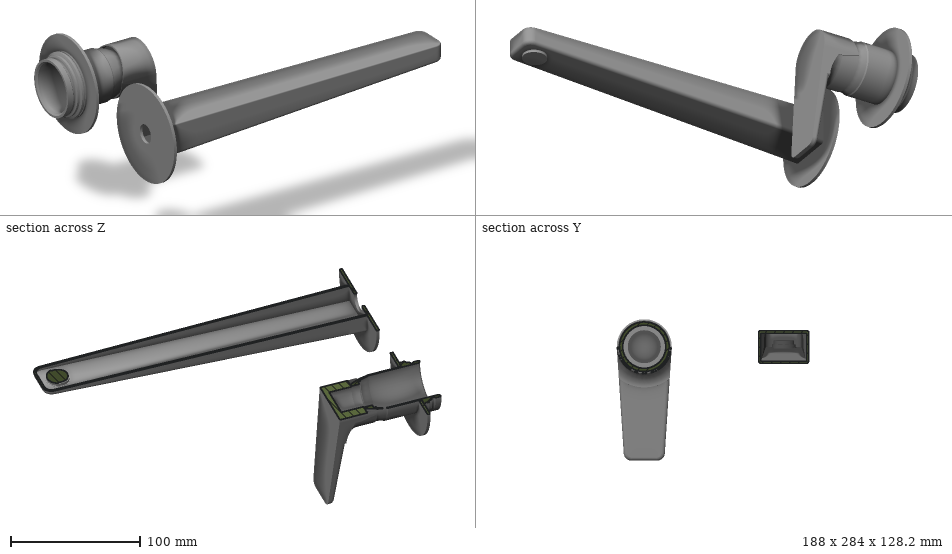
import cadquery as cq
import math

SPOUT_X = 108.0
OVERLAP = 5.0

PLATE_RADIUS = 40.0
PLATE_THICKNESS = 2.5
SPOUT_INLET_RADIUS = 7.8

SLEEVE_RADIUS = 21.8
SLEEVE_BORE_RADIUS = 20.4
SLEEVE_END = 28.3
DOME_START = 29.3
DOME_START_RADIUS = 21.2
DOME_MID = 36.5
DOME_MID_RADIUS = 19.8
DOME_END = 45.0
DOME_END_RADIUS = 15.5
SEAL_RADIUS = 26.8
SEAL_END = -4.4
SEAL_GROOVE_DEPTH = 0.6
SEAL_GROOVE_START = -1.6
SEAL_GROOVE_END = -2.8
COLLAR_RADIUS = 24.7
COLLAR_START = -5.4
COLLAR_END = -7.4
NECK_RADIUS = 22.6
NECK_START = -8.2
NECK_END = -9.8
RING_RADIUS = 23.6
RING_START = -10.6
RING_END = -15.5
MOUTH_CHAMFER = 1.3
DOME_BORE_START = 28.0
DOME_BORE_END = 36.0
DOME_BORE_END_RADIUS = 17.8
SEAT_RADIUS = 16.5
SEAT_END = 38.0
OUTLET_RADIUS = 13.5

CAP_RADIUS = 21.3
LEVER_BOTTOM = -88.22
LEVER_TAPER = 3.75
LEVER_CORNER_RADIUS = 6.0
FACE_Y = 68.3
FACE_TILT = 5.0
BACK_Y = 59.0
BACK_TILT = 7.7
CAP_REAR = 36.8
CAP_REAR_TOP = 41.8
HANDLE_NECK_RADIUS = 21.0
SHOULDER_FRONT = 49.8
SHOULDER_FRONT_Z = -5.0
FLARE_START = 51.5
FLARE_RADIUS = 10.5
LEVER_EDGE_FILLET = 2.8
DOME_POCKET_RADIUS = 20.2
CORE_RADIUS = 12.8
CAP_WALL = 3.0

SPOUT_TIP = 268.5
SPOUT_TOP = 12.4
SPOUT_ROOT_BOTTOM = -14.8
SPOUT_TIP_BOTTOM = -2.1
SPOUT_SLOPE = (SPOUT_TIP_BOTTOM - SPOUT_ROOT_BOTTOM) / (SPOUT_TIP - PLATE_THICKNESS)
SPOUT_ROOT_HALF_WIDTH = 20.1
SPOUT_TIP_HALF_WIDTH = 15.8
SPOUT_CORNER_RADIUS = 7.5
SPOUT_TOP_FILLET = 1.0
SPOUT_BOTTOM_FILLET = 2.5
SPOUT_WALL = 2.0

AERATOR_Y = 252.3
AERATOR_RADIUS = 9.8
AERATOR_PROJECTION = 2.2
AERATOR_STEPS = [(AERATOR_RADIUS, 4.5), (9.0, 2.5), (8.0, 3.0)]


def revolve_about_y(profile, angle=360):
    """Turn a (radius, y) outline about the Y axis; 180 degrees gives the half below the axis."""
    return profile.close().revolve(angle, (0, 0, 0), (0, 1, 0))


def make_plate(centre_x, hole_radius):
    plate = cq.Workplane("XZ", origin=(centre_x, 0, 0)).circle(PLATE_RADIUS).circle(hole_radius)
    return plate.extrude(-PLATE_THICKNESS)


def make_valve_body():
    groove_radius = SEAL_RADIUS - SEAL_GROOVE_DEPTH
    mouth_radius = SLEEVE_BORE_RADIUS + MOUTH_CHAMFER
    profile = (
        cq.Workplane("XY")
        .moveTo(mouth_radius, RING_END)
        .lineTo(RING_RADIUS, RING_END)
        .lineTo(RING_RADIUS, RING_START)
        .lineTo(NECK_RADIUS, NECK_END)
        .lineTo(NECK_RADIUS, NECK_START)
        .lineTo(COLLAR_RADIUS, COLLAR_END)
        .lineTo(COLLAR_RADIUS, COLLAR_START)
        .lineTo(SEAL_RADIUS, SEAL_END)
        .lineTo(SEAL_RADIUS, SEAL_GROOVE_END)
        .lineTo(groove_radius, SEAL_GROOVE_END)
        .lineTo(groove_radius, SEAL_GROOVE_START)
        .lineTo(SEAL_RADIUS, SEAL_GROOVE_START)
        .lineTo(SEAL_RADIUS, 0)
        .lineTo(SLEEVE_RADIUS, 0)
        .lineTo(SLEEVE_RADIUS, SLEEVE_END)
        .lineTo(DOME_START_RADIUS, DOME_START)
        .threePointArc((DOME_MID_RADIUS, DOME_MID), (DOME_END_RADIUS, DOME_END))
        .lineTo(OUTLET_RADIUS, DOME_END)
        .lineTo(OUTLET_RADIUS, SEAT_END)
        .lineTo(SEAT_RADIUS, SEAT_END)
        .lineTo(SEAT_RADIUS, DOME_BORE_END)
        .lineTo(DOME_BORE_END_RADIUS, DOME_BORE_END)
        .lineTo(SLEEVE_BORE_RADIUS, DOME_BORE_START)
        .lineTo(SLEEVE_BORE_RADIUS, RING_END + MOUTH_CHAMFER)
    )
    return revolve_about_y(profile)


def make_handle():
    face_slope = math.tan(math.radians(FACE_TILT))
    back_slope = math.tan(math.radians(BACK_TILT))

    def face_y(z):
        return FACE_Y - z * face_slope

    def back_y(z):
        return BACK_Y - z * back_slope

    taper = math.radians(LEVER_TAPER)
    flank_x = CAP_RADIUS * math.cos(taper)
    flank_z = -CAP_RADIUS * math.sin(taper)
    tip_half_width = flank_x - (flank_z - LEVER_BOTTOM) * math.tan(taper)

    outline = (
        cq.Workplane("XZ")
        .moveTo(-flank_x, flank_z)
        .threePointArc((0, CAP_RADIUS), (flank_x, flank_z))
        .lineTo(tip_half_width, LEVER_BOTTOM)
        .lineTo(-tip_half_width, LEVER_BOTTOM)
        .close()
        .extrude(-face_y(LEVER_BOTTOM) - OVERLAP)
        .edges("|Y and <Z")
        .fillet(LEVER_CORNER_RADIUS)
    )

    slab = (
        cq.Workplane("YZ")
        .polyline([
            (face_y(CAP_RADIUS), CAP_RADIUS),
            (CAP_REAR_TOP, CAP_RADIUS),
            (CAP_REAR, flank_z),
            (SHOULDER_FRONT, SHOULDER_FRONT_Z),
            (back_y(SHOULDER_FRONT_Z), SHOULDER_FRONT_Z),
            (back_y(LEVER_BOTTOM), LEVER_BOTTOM),
            (face_y(LEVER_BOTTOM), LEVER_BOTTOM),
        ])
        .close()
        .extrude(CAP_RADIUS, both=True)
    )
    lever = outline.intersect(slab)
    back_centre = (0, back_y(LEVER_BOTTOM / 2), LEVER_BOTTOM / 2)
    back_face = lever.faces(cq.selectors.NearestToPointSelector(back_centre))
    lever = back_face.edges("not >Z").fillet(LEVER_EDGE_FILLET)

    flare_end_radius = HANDLE_NECK_RADIUS + FLARE_RADIUS
    flare_mid = FLARE_RADIUS * math.sqrt(0.5)
    neck_profile = (
        cq.Workplane("XY")
        .moveTo(0, CAP_REAR)
        .lineTo(HANDLE_NECK_RADIUS, CAP_REAR)
        .lineTo(HANDLE_NECK_RADIUS, FLARE_START)
        .threePointArc(
            (flare_end_radius - flare_mid, FLARE_START + flare_mid),
            (flare_end_radius, FLARE_START + FLARE_RADIUS),
        )
        .lineTo(flare_end_radius, FACE_Y)
        .lineTo(0, FACE_Y)
    )
    neck = revolve_about_y(neck_profile, 180).intersect(outline)
    handle = lever.union(neck)

    pocket = cq.Workplane("XZ").circle(DOME_POCKET_RADIUS).extrude(-DOME_END)
    core = cq.Workplane("XZ").circle(CORE_RADIUS).extrude(-(face_y(CAP_RADIUS) - CAP_WALL))
    return handle.cut(pocket).cut(core)


def spout_blank(inset):
    """Tapered spout shape with every face but the root moved in by an inset."""
    root = PLATE_THICKNESS
    top = SPOUT_TOP - inset
    tip = SPOUT_TIP - inset
    root_half = SPOUT_ROOT_HALF_WIDTH - inset
    tip_half = SPOUT_TIP_HALF_WIDTH - inset
    plan = (
        cq.Workplane("XY", origin=(SPOUT_X, 0, SPOUT_ROOT_BOTTOM - OVERLAP))
        .polyline([(-root_half, root), (root_half, root), (tip_half, tip), (-tip_half, tip)])
        .close()
        .extrude(top - SPOUT_ROOT_BOTTOM + OVERLAP)
        .edges("|Z and >Y")
        .fillet(SPOUT_CORNER_RADIUS - inset)
    )
    side = (
        cq.Workplane("YZ", origin=(SPOUT_X, 0, 0))
        .polyline([
            (root, SPOUT_ROOT_BOTTOM + inset),
            (tip, SPOUT_TIP_BOTTOM + inset - SPOUT_SLOPE * inset),
            (tip, top),
            (root, top),
        ])
        .close()
        .extrude(SPOUT_ROOT_HALF_WIDTH, both=True)
    )
    return plan.intersect(side)


def make_aerator():
    """Stepped cylinder square to the sloping underside of the spout."""
    underside_z = SPOUT_ROOT_BOTTOM + SPOUT_SLOPE * (AERATOR_Y - PLATE_THICKNESS)
    aerator = cq.Workplane("XY")
    base = -AERATOR_PROJECTION
    for radius, height in AERATOR_STEPS:
        aerator = aerator.union(cq.Workplane("XY", origin=(0, 0, base)).circle(radius).extrude(height))
        base += height
    tilt = math.degrees(math.atan(SPOUT_SLOPE))
    return aerator.rotate((0, 0, 0), (1, 0, 0), tilt).translate((SPOUT_X, AERATOR_Y, underside_z))


def make_spout(aerator):
    shell = spout_blank(0)
    shell = shell.faces("<Z").edges("not <Y").fillet(SPOUT_BOTTOM_FILLET)
    shell = shell.faces(">Z").edges("not <Y").fillet(SPOUT_TOP_FILLET)
    cavity = spout_blank(SPOUT_WALL)
    return shell.cut(cavity).cut(aerator)


handle_plate = make_plate(0, SLEEVE_RADIUS)
spout_plate = make_plate(SPOUT_X, SPOUT_INLET_RADIUS)
valve_body = make_valve_body()
handle = make_handle()
aerator = make_aerator()
spout = make_spout(aerator)

result = cq.Compound.makeCompound([
    handle_plate.val(),
    spout_plate.val(),
    valve_body.val(),
    handle.val(),
    spout.val(),
    aerator.val(),
])